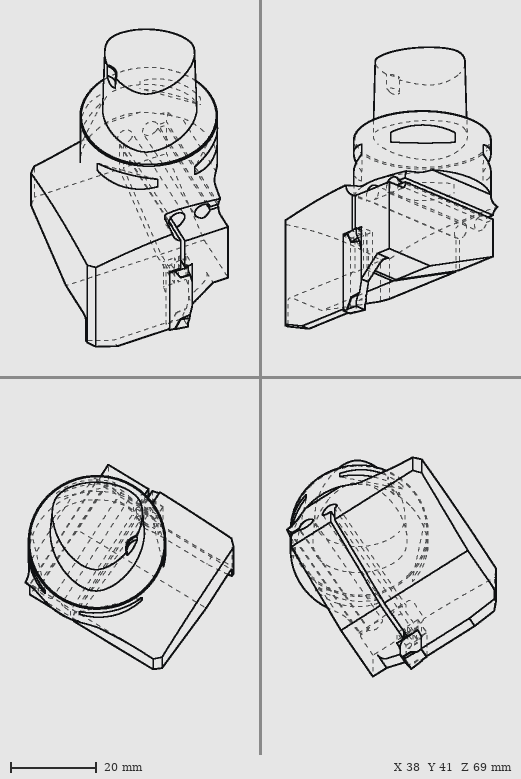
import cadquery as cq
import math


beyond_part = 41.4

shank_height = 19.0
shank_base_radius = 11.0
shank_top_radius = 10.5
lobe_height = 0.75
lobe_half_angle = 24
lobe_spacing = 120
lobe_directions = [90 + i * lobe_spacing for i in range(3)]
points_per_face = 9

notch_radius = 3.05
notch_back_y = -8.7
notch_depth = 3.4
notch_cone_angle = 110
notch_chamfer = 0.2

flange_radius = 32.0 / 2
flange_height = 15.2
flange_chamfer = 0.3
grip_floor_distance = 14.15
grip_center_z = -6.1
grip_floor_half_height = 1.25
grip_side_slope = 30
grip_corner_radius = 0.35
grip_overrun = 0.7
grip_directions = (45, 135, 225, 315)

block_left_x = -12.9
block_right_x = 21.6
block_front_y = -25.0
block_back_y = 10.4
block_bottom_z = -38.5
block_chamfer = 1.5
flare_radius = 4.0
flare_start_z = -18.85
slope_top_z = -29.25
slope_end_x = 8.1
cone_slope = 15
cone_fillet = 1.2

blade_thickness = 2.3
blade_fillet = 1.45
blade_bottom_z = -49.2
blade_slope_y = -18.0
blade_front_z = -46.4
jaw_root_y = 6.55
jaw_tip_z = -43.3

hole_diameter = 4.0
hole_z = -19.2
hinge_hole_y = 6.3
clamp_hole_y = -0.3
slot_width = 1.05
clamp_slot_y = -1.2

relief_left_x = 16.35
relief_front_y = -3.8
relief_floor_z = -21.4
relief_front_fillet = 4.15
relief_side_fillet = 1.0

insert_back_y = 1.25
insert_front_y = -4.55
insert_top_z = -30.0
insert_bottom_z = -50.0
insert_middle_z = (insert_top_z + insert_bottom_z) / 2
insert_heel_rise = 0.4
edge_land_height = 1.25
edge_land_z = insert_bottom_z + edge_land_height
tip_width = 3.05
tip_right_x = 22.0
tip_left_x = tip_right_x - tip_width
blade_left_x = block_right_x - blade_thickness
shoulder_z = -44.1
rake_y = 0.7
rake_z = -46.65
tip_heel_y = -3.25
tip_knee_y = -1.85
tip_knee_z = -47.05
tip_shoulder_z = -47.55
tip_side_relief = 4
tip_side_lean = 2

seat_left_x = blade_left_x - blade_fillet


def lobe_point(mean_radius, degrees):
    """Point and tangent of the lobed outline whose normal has the given direction."""
    a = math.radians(degrees)
    phase = math.radians(3 * (degrees - lobe_directions[0]))
    support = mean_radius + lobe_height * math.cos(phase)
    slope = -3 * lobe_height * math.sin(phase)
    x = support * math.cos(a) - slope * math.sin(a)
    y = support * math.sin(a) + slope * math.cos(a)
    return (x, y), (-math.sin(a), math.cos(a))


def shank_outline(plane, mean_radius):
    first_angle = lobe_directions[0] - lobe_half_angle
    outline = plane.moveTo(*lobe_point(mean_radius, first_angle)[0])
    for lobe in lobe_directions:
        stops = (lobe - lobe_half_angle, lobe + lobe_half_angle, lobe + lobe_spacing - lobe_half_angle)
        for start, end in zip(stops, stops[1:]):
            step = (end - start) / (points_per_face - 1)
            face = [lobe_point(mean_radius, start + i * step) for i in range(points_per_face)]
            points = [point for point, _ in face]
            outline = outline.spline(
                points[1:], tangents=[face[0][1], face[-1][1]], includeCurrent=True
            )
    return outline.close()


def make_shank():
    base = shank_outline(cq.Workplane("XY"), shank_base_radius)
    both_ends = shank_outline(base.workplane(offset=shank_height), shank_top_radius)
    shank = both_ends.loft(ruled=True, combine=True)

    cone_depth = notch_radius / math.tan(math.radians(notch_cone_angle / 2))
    rim_z = shank_height - notch_depth
    notch = (
        cq.Workplane("XZ")
        .moveTo(0, shank_height)
        .lineTo(notch_radius + notch_chamfer, shank_height)
        .lineTo(notch_radius, shank_height - notch_chamfer)
        .lineTo(notch_radius, rim_z)
        .lineTo(0, rim_z - cone_depth)
        .close()
        .revolve(360, (0, 0, 0), (0, 1, 0))
        .translate((0, notch_back_y - notch_radius, 0))
    )
    return shank.cut(notch)


def make_grip_groove(direction):
    depth = flange_radius - grip_floor_distance + grip_overrun
    mouth_half_height = grip_floor_half_height + depth * math.tan(math.radians(grip_side_slope))
    return (
        cq.Workplane("XZ")
        .moveTo(grip_floor_distance, grip_center_z - grip_floor_half_height)
        .lineTo(grip_floor_distance, grip_center_z + grip_floor_half_height)
        .lineTo(grip_floor_distance + depth, grip_center_z + mouth_half_height)
        .lineTo(grip_floor_distance + depth, grip_center_z - mouth_half_height)
        .close()
        .extrude(flange_radius, both=True)
        .edges("|Y and <X")
        .fillet(grip_corner_radius)
        .rotate((0, 0, 0), (0, 0, 1), direction)
    )


def make_flange():
    flange = (
        cq.Workplane("XY")
        .circle(flange_radius)
        .extrude(-flange_height)
        .faces(">Z")
        .edges()
        .chamfer(flange_chamfer)
    )
    for direction in grip_directions:
        flange = flange.cut(make_grip_groove(direction))
    return flange


def flare_offset(height):
    """How far the hollow flare stands out from its wall at a height above its start."""
    return flare_radius - math.sqrt(flare_radius**2 - height**2)


def make_front_corner(corner_x):
    """Square column, turned 45 degrees, whose side leaves the chamfer on a front corner."""
    return (
        cq.Workplane("XY")
        .rect(block_chamfer * math.sqrt(2), block_chamfer * math.sqrt(2))
        .extrude(insert_bottom_z)
        .rotate((0, 0, 0), (0, 0, 1), 45)
        .translate((corner_x, block_front_y, 0))
    )


def make_block():
    """Side profile, front profile and coned top, intersected."""
    top_z = -flange_height
    flare_height = top_z - flare_start_z
    flare_top = flare_offset(flare_height)
    flare_middle = flare_offset(flare_height / 2)
    flare_middle_z = flare_start_z + flare_height / 2
    fillet_45 = blade_fillet * math.sqrt(0.5)

    front_profile = (
        cq.Workplane("XZ")
        .moveTo(block_left_x - flare_top, top_z)
        .threePointArc((block_left_x - flare_middle, flare_middle_z), (block_left_x, flare_start_z))
        .lineTo(block_left_x, slope_top_z)
        .lineTo(slope_end_x, block_bottom_z)
        .lineTo(seat_left_x, block_bottom_z)
        .threePointArc(
            (seat_left_x + fillet_45, block_bottom_z - blade_fillet + fillet_45),
            (blade_left_x, block_bottom_z - blade_fillet),
        )
        .lineTo(blade_left_x, blade_bottom_z)
        .lineTo(block_right_x, blade_bottom_z)
        .lineTo(block_right_x, top_z)
        .close()
        .extrude(beyond_part, both=True)
    )

    insert_middle_y = (insert_back_y + insert_front_y) / 2
    side_profile = (
        cq.Workplane("YZ")
        .moveTo(block_back_y + flare_top, top_z)
        .threePointArc((block_back_y + flare_middle, flare_middle_z), (block_back_y, flare_start_z))
        .lineTo(block_back_y, block_bottom_z)
        .lineTo(jaw_root_y, block_bottom_z)
        .lineTo(insert_back_y, jaw_tip_z)
        .lineTo(insert_middle_y, jaw_tip_z)
        .lineTo(insert_middle_y, blade_bottom_z)
        .lineTo(blade_slope_y, blade_bottom_z)
        .lineTo(block_front_y, blade_front_z)
        .lineTo(block_front_y, top_z)
        .close()
        .extrude(beyond_part, both=True)
    )

    slope = math.radians(cone_slope)
    turn = math.pi / 2 - slope
    fillet_end_r = flange_radius + cone_fillet * (1 - math.cos(turn))
    fillet_end_z = top_z - cone_fillet * math.sin(turn)
    fillet_middle_r = flange_radius + cone_fillet * (1 - math.cos(turn / 2))
    fillet_middle_z = top_z - cone_fillet * math.sin(turn / 2)
    coned_top = (
        cq.Workplane("XZ")
        .moveTo(0, top_z)
        .lineTo(flange_radius, top_z)
        .threePointArc((fillet_middle_r, fillet_middle_z), (fillet_end_r, fillet_end_z))
        .lineTo(beyond_part, fillet_end_z - (beyond_part - fillet_end_r) * math.tan(slope))
        .lineTo(beyond_part, insert_bottom_z)
        .lineTo(0, insert_bottom_z)
        .close()
        .revolve(360, (0, 0, 0), (0, 1, 0))
    )

    block = front_profile.intersect(side_profile)
    for corner_x in (block_left_x, block_right_x):
        block = block.cut(make_front_corner(corner_x))
    return block.intersect(coned_top)


def box_between(x, y, z):
    """Box with the given (low, high) limits along each axis."""
    return (
        cq.Workplane("XY")
        .box(x[1] - x[0], y[1] - y[0], z[1] - z[0], centered=False)
        .translate((x[0], y[0], z[0]))
    )


def make_clamping_slots():
    holes = (
        cq.Workplane("YZ")
        .pushPoints([(hinge_hole_y, hole_z), (clamp_hole_y, hole_z)])
        .circle(hole_diameter / 2)
        .extrude(beyond_part, both=True)
    )
    through_x = (-beyond_part, beyond_part)
    hinge_slot = box_between(
        through_x,
        (hinge_hole_y, block_back_y + flare_radius),
        (hole_z - slot_width / 2, hole_z + slot_width / 2),
    )
    clamp_slot = box_between(
        through_x,
        (clamp_slot_y - slot_width / 2, clamp_slot_y + slot_width / 2),
        (insert_middle_z, hole_z),
    )
    return holes.union(hinge_slot).union(clamp_slot)


def make_corner_relief():
    relief = box_between(
        (relief_left_x, beyond_part), (relief_front_y, beyond_part), (relief_floor_z, -flange_height)
    )
    relief = relief.edges("|X and <Y and <Z").fillet(relief_front_fillet)
    return relief.faces("<X").edges("<Z").fillet(relief_side_fillet)


def make_insert_seat():
    return box_between(
        (seat_left_x, beyond_part), (insert_front_y, insert_back_y), (insert_bottom_z, insert_top_z)
    )


def make_holder():
    block = make_block()
    block = block.cut(make_clamping_slots())
    block = block.cut(make_corner_relief())
    block = block.cut(make_insert_seat())
    return make_shank().union(make_flange()).union(block)


def slab(points, left_x, right_x):
    """Outline in the YZ plane, extruded between two X positions."""
    plane = cq.Workplane("YZ").workplane(offset=left_x)
    return plane.polyline(points).close().extrude(right_x - left_x)


def make_tip():
    """Cutting tip, widest at the cutting edge and narrowing behind and above it."""
    tip_heel_z = insert_bottom_z + insert_heel_rise * tip_heel_y / insert_front_y
    side = slab(
        [
            (rake_y, rake_z),
            (0, edge_land_z),
            (0, insert_bottom_z),
            (tip_heel_y, tip_heel_z),
            (tip_knee_y, tip_knee_z),
        ],
        tip_left_x,
        tip_right_x,
    )
    flank_shift = tip_width * math.tan(math.radians(tip_side_relief))
    flanks = (
        cq.Workplane("XY")
        .workplane(offset=insert_bottom_z)
        .moveTo(tip_left_x - flank_shift, tip_width)
        .lineTo(tip_right_x + flank_shift, tip_width)
        .lineTo(tip_right_x - 2 * flank_shift, -2 * tip_width)
        .lineTo(tip_left_x + 2 * flank_shift, -2 * tip_width)
        .close()
        .extrude(insert_middle_z - insert_bottom_z, taper=tip_side_lean)
    )
    front = (
        cq.Workplane("XZ")
        .moveTo(blade_left_x, rake_z)
        .lineTo(tip_left_x, tip_shoulder_z)
        .lineTo(tip_left_x, insert_bottom_z)
        .lineTo(tip_right_x, insert_bottom_z)
        .lineTo(tip_right_x, tip_shoulder_z)
        .lineTo(block_right_x, rake_z)
        .close()
        .extrude(2 * tip_width, both=True)
    )
    return side.intersect(flanks).intersect(front)


def make_insert():
    """Lower half with its tip, joined to its mirror image."""
    heel_z = insert_bottom_z + insert_heel_rise

    shaft = slab(
        [
            (insert_back_y, insert_middle_z),
            (insert_back_y, shoulder_z),
            (rake_y, rake_z),
            (0, edge_land_z),
            (0, insert_bottom_z),
            (insert_front_y, heel_z),
            (insert_front_y, insert_middle_z),
        ],
        blade_left_x,
        block_right_x,
    )
    lower_half = shaft.union(make_tip())
    upper_half = lower_half.mirror("XY", (0, 0, insert_middle_z))
    return lower_half.union(upper_half)


holder = make_holder()
insert = make_insert()
result = cq.Compound.makeCompound([holder.val(), insert.val()])